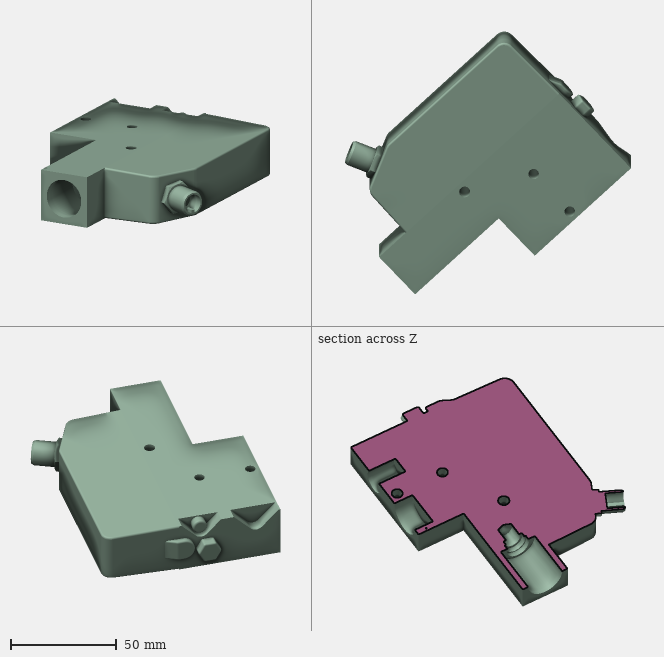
import cadquery as cq
import math

thickness = 25.0
mid_height = thickness / 2
leg_width = 24.9
block_width = 2 * leg_width
block_top = 116.6
step_height = 54.2

through_holes = [(4.4, 81.0, 5.0), (29.4, 81.0, 5.0), (45.3, 51.3, 5.2)]

large_bore_dia = 18.6
side_bore_y = 67.1
side_bore_depth = 10.0
small_bore_dia = 11.4
small_bore_y = 95.1
small_bore_z = 9.0
small_bore_depth = 14.6
leg_bore_x = block_width - leg_width / 2
leg_bore_depth = 25.0
port_z = 10.6
port_steps = [(12.0, 2.4), (10.7, 2.4), (8.0, 7.3)]
drill_tip_angle = 118.0

notch_depth = 6.1
notch_root_radius = 4.0
back_wall = block_top - notch_depth
left_notch_x = 11.8
left_notch_half_width = 11.0
right_notch_x = 38.9
right_notch_half_width = 9.7

pin_dia = 7.0
pin_length = 4.1
pin_fillet = 1.1

screw_x = 35.8
screw_z = 10.5
screw_flats = 10.0
screw_top = 121.5
screw_edge_round = 1.2
screw_top_round = 0.9

lens_x = 47.9
lens_radius = 5.2
lens_top = 119.3
lens_flat_end = 51.0
lens_slope_end = 56.4
lens_bend_radius = 2.4
lens_fillet = 0.9
round_end_share = 0.999

housing_right = 86.8
housing_bottom = 17.1
housing_draft = 1.3
housing_corner_radius = 5.0
housing_rim_fillet = 1.0
slant_angle = 25.0
slant_top = 39.9

connector_offset = 12.4
nut_flats = 14.0
nut_height = 3.0
nut_turn = 10.0
nut_chamfer_angle = 30.0
plug_dia = 12.0
plug_tip_dia = 10.7
plug_tip_length = 1.2
plug_length = 14.5
socket_dia = 9.0
socket_depth = 8.5
key_width = 2.0
key_height = 1.5

joint_overlap = 1.2


def hex_prism(plane, flats, height):
    corner_dia = flats / math.cos(math.radians(30))
    return cq.Workplane(plane).polygon(6, corner_dia).extrude(height)


def back_plane(x, y, z):
    """Plane whose normal is +Y and whose local x is +X."""
    return cq.Plane(origin=(x, y, z), xDir=(1, 0, 0), normal=(0, 1, 0))


def make_block():
    outline = [
        (0, step_height),
        (leg_width, step_height),
        (leg_width, 0),
        (block_width, 0),
        (block_width, block_top),
        (0, block_top),
    ]
    return cq.Workplane("XY").polyline(outline).close().extrude(thickness)


def side_bore(y, z, dia, depth):
    return cq.Workplane("YZ").center(y, z).circle(dia / 2).extrude(depth)


def leg_bore():
    start = back_plane(leg_bore_x, 0, mid_height)
    bore = cq.Workplane(start).circle(large_bore_dia / 2).extrude(leg_bore_depth)
    depth = leg_bore_depth
    profile = [(0, depth)]
    for dia, length in port_steps:
        profile += [(dia / 2, depth), (dia / 2, depth + length)]
        depth += length
    tip_radius = port_steps[-1][0] / 2
    tip_length = tip_radius / math.tan(math.radians(drill_tip_angle / 2))
    profile.append((0, depth + tip_length))
    port = cq.Workplane("XY").polyline(profile).close().revolve(360, (0, 0, 0), (0, 1, 0))
    return bore.union(port.translate((leg_bore_x, 0, port_z)))


def notch_root_z(half_width):
    """Height of the root arc centre of a 45-degree notch."""
    return thickness - half_width + notch_root_radius * math.sqrt(2)


def notch(x, half_width):
    tangent = notch_root_radius / math.sqrt(2)
    tangent_z = thickness - half_width + tangent
    root_bottom = notch_root_z(half_width) - notch_root_radius
    return (
        cq.Workplane(cq.Plane(origin=(x, block_top, 0), xDir=(1, 0, 0), normal=(0, -1, 0)))
        .moveTo(-half_width, thickness)
        .lineTo(-tangent, tangent_z)
        .threePointArc((0, root_bottom), (tangent, tangent_z))
        .lineTo(half_width, thickness)
        .close()
        .extrude(notch_depth)
    )


def make_pin():
    start = back_plane(right_notch_x, back_wall, notch_root_z(right_notch_half_width))
    pin = cq.Workplane(start).circle(pin_dia / 2).extrude(pin_length)
    pin = pin.faces(">Y").edges().fillet(pin_fillet)
    root = cq.Workplane(start).circle(pin_dia / 2).extrude(-joint_overlap)
    return pin.union(root)


def make_screw():
    start_y = block_top - joint_overlap
    screw = hex_prism(back_plane(screw_x, start_y, screw_z), screw_flats, screw_top - start_y)
    return screw.edges("|Y").fillet(screw_edge_round).faces(">Y").edges().fillet(screw_top_round)


def make_lens():
    start_y = block_top - joint_overlap
    slope = (lens_top - block_top) / (lens_slope_end - lens_flat_end)
    bar_end = lens_slope_end + joint_overlap / slope
    side = [
        (lens_x - lens_radius, start_y),
        (bar_end, start_y),
        (lens_flat_end, lens_top),
        (lens_x - lens_radius, lens_top),
    ]
    wedge = (
        cq.Workplane("XY", origin=(0, 0, mid_height - lens_radius))
        .polyline(side)
        .close()
        .extrude(2 * lens_radius)
    )
    wedge = wedge.edges("|Y and <X").fillet(lens_radius * round_end_share)
    wedge = wedge.edges(cq.NearestToPointSelector((lens_flat_end, lens_top, mid_height))).fillet(lens_bend_radius)
    rim = wedge.faces(">Y").edges("<X")
    return rim.fillet(lens_fillet)


def make_housing():
    draft = math.tan(math.radians(housing_draft))
    rise = draft * (housing_right - block_width)
    slant_run = math.tan(math.radians(slant_angle))
    corner_run = (slant_top - housing_bottom - rise) * slant_run / (1 - draft * slant_run)
    corner_x = housing_right - corner_run
    corner_y = housing_bottom + draft * (corner_x - block_width)
    plan = [
        (block_width, housing_bottom),
        (corner_x, corner_y),
        (housing_right, slant_top),
        (housing_right, block_top - rise),
        (block_width, block_top),
    ]
    section = [
        (block_width, 0),
        (housing_right, rise),
        (housing_right, thickness - rise),
        (block_width, thickness),
    ]
    body = cq.Workplane("XY").polyline(plan).close().extrude(thickness)
    in_plan = cq.selectors.BoxSelector(
        (block_width + joint_overlap, 0, 0), (housing_right + joint_overlap, block_top, thickness)
    )
    body = body.edges("|Z").edges(in_plan).fillet(housing_corner_radius)
    taper = cq.Workplane("XZ").polyline(section).close().extrude(-block_top)
    body = body.intersect(taper)
    rim = body.faces(">Z or <Z").edges().edges(in_plan)
    return rim.fillet(housing_rim_fillet)


def turned(plane, profile):
    """Solid of revolution about the plane normal; profile points are (radius, height)."""
    section = cq.Plane(origin=plane.origin, xDir=plane.xDir, normal=-plane.yDir)
    return cq.Workplane(section).polyline(profile).close().revolve(360, (0, 0, 0), (0, 1, 0))


def nut_cone_profile():
    """Bounding profile that chamfers the outer corners of the nut."""
    inner = nut_flats / 2
    outer = inner / math.cos(math.radians(30))
    drop = (outer - inner) * math.tan(math.radians(nut_chamfer_angle))
    return [(0, 0), (outer, 0), (outer, nut_height - drop), (inner, nut_height), (0, nut_height)]


def make_connector():
    slant = math.radians(slant_angle)
    base = (
        housing_right - connector_offset * math.sin(slant),
        slant_top - connector_offset * math.cos(slant),
        mid_height,
    )
    along_slant = (math.sin(slant), math.cos(slant), 0)
    outward = (math.cos(slant), -math.sin(slant), 0)
    seat = cq.Plane(origin=base, xDir=along_slant, normal=outward)
    nut = hex_prism(seat.rotated((0, 0, nut_turn)), nut_flats, nut_height)
    plug_profile = [
        (0, -joint_overlap),
        (plug_dia / 2, -joint_overlap),
        (plug_dia / 2, plug_length - plug_tip_length),
        (plug_tip_dia / 2, plug_length),
        (socket_dia / 2, plug_length),
        (socket_dia / 2, plug_length - socket_depth),
        (0, plug_length - socket_depth),
    ]
    plug = turned(seat, plug_profile)
    nut = nut.intersect(turned(seat, nut_cone_profile()))
    key = (
        cq.Workplane(seat)
        .workplane(offset=plug_length - socket_depth)
        .center(0, -(socket_dia - key_height) / 2)
        .rect(key_width, key_height)
        .extrude(socket_depth)
    )
    socket_limit = cq.Workplane(seat).circle(plug_tip_dia / 2).extrude(plug_length)
    return nut.union(plug).union(key.intersect(socket_limit))


result = make_block()
for x, y, dia in through_holes:
    result = result.cut(cq.Workplane("XY").center(x, y).circle(dia / 2).extrude(thickness))
result = result.cut(side_bore(side_bore_y, mid_height, large_bore_dia, side_bore_depth))
result = result.cut(side_bore(small_bore_y, small_bore_z, small_bore_dia, small_bore_depth))
result = result.cut(leg_bore())
result = result.cut(notch(left_notch_x, left_notch_half_width))
result = result.cut(notch(right_notch_x, right_notch_half_width))
for attached in (make_housing(), make_pin(), make_screw(), make_lens(), make_connector()):
    result = result.union(attached)